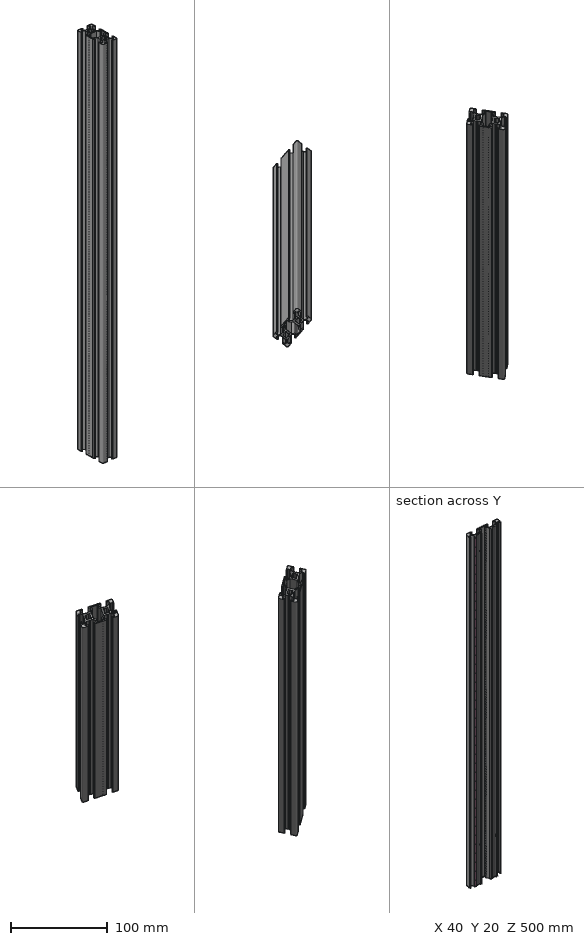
import cadquery as cq
import math

LENGTH = 500.0
CELL = 20.0
WIDTH = 2 * CELL
CELL_CENTRES = (-CELL / 2, CELL / 2)
CORNER_RADIUS = 1.5

OPENING = 6.0
LIP_THICKNESS = 1.5
LIP_CHAMFER = 0.65
CORNER_BLOCK = 4.1
GROOVE_WIDTH = 1.8
GROOVE_DEPTH = 0.5

CORE_WIDTH = 9.0
RIB_THICKNESS = 1.4
BORE_DIAMETER = 5.0
BORE_LOBE_LENGTH = 7.0
BORE_LOBE_WIDTH = 1.5

CENTRE_WALL = 1.25
FACE_WALL = 1.2

CORE_HALF = CORE_WIDTH / 2
CAVITY_HALF = CELL / 2 - CORNER_BLOCK
RIB_OFFSET = RIB_THICKNESS / math.sqrt(2)


def slot_outline():
    """T-slot in the +Y side of a cell centred on the origin, with a V-groove in its floor."""
    face = CELL / 2
    lip_bottom = face - LIP_THICKNESS
    right_half = [
        (GROOVE_WIDTH / 2, CORE_HALF),
        (CORE_HALF - RIB_OFFSET, CORE_HALF),
        (CAVITY_HALF, CAVITY_HALF + RIB_OFFSET),
        (CAVITY_HALF, lip_bottom),
        (OPENING / 2, lip_bottom),
        (OPENING / 2, face - LIP_CHAMFER),
        (OPENING / 2 + LIP_CHAMFER, face),
    ]
    left_half = [(-x, y) for x, y in reversed(right_half)]
    return [(0, CORE_HALF - GROOVE_DEPTH)] + right_half + left_half


def slot(cell_centre, angle):
    """Full-length T-slot on the side of a cell turned by `angle` from +Y."""
    cutter = cq.Workplane("XY").polyline(slot_outline()).close().extrude(LENGTH)
    return cutter.rotate((0, 0, 0), (0, 0, 1), angle).translate((cell_centre, 0, 0))


def centre_hollow():
    """Hollow between the cores, wide at mid-depth and narrow between facing slots."""
    wide = CELL / 2 - CORE_HALF
    narrow = CELL / 2 - CAVITY_HALF - CENTRE_WALL
    shoulder = CORE_HALF - RIB_OFFSET
    right_side = [
        (wide, shoulder),
        (narrow, shoulder + wide - narrow),
        (narrow, CELL / 2 - FACE_WALL),
    ]
    upper = right_side + [(-x, y) for x, y in reversed(right_side)]
    lower = [(-x, -y) for x, y in upper]
    return cq.Workplane("XY").polyline(upper + lower).close().extrude(LENGTH)


def core_bore(cell_centre):
    """Round bore widened by lobes that point along both cell diagonals."""
    plane = cq.Workplane("XY").center(cell_centre, 0)
    bore = plane.circle(BORE_DIAMETER / 2).extrude(LENGTH)
    for angle in (45, 135):
        lobes = plane.slot2D(BORE_LOBE_LENGTH, BORE_LOBE_WIDTH, angle).extrude(LENGTH)
        bore = bore.union(lobes)
    return bore


bar = cq.Workplane("XY").box(WIDTH, CELL, LENGTH, centered=(True, True, False))
bar = bar.edges("|Z").fillet(CORNER_RADIUS)
bar = bar.cut(centre_hollow())

for centre in CELL_CENTRES:
    outward = 90 if centre < 0 else -90
    for side_angle in (0, 180, outward):
        bar = bar.cut(slot(centre, side_angle))
    bar = bar.cut(core_bore(centre))

result = bar